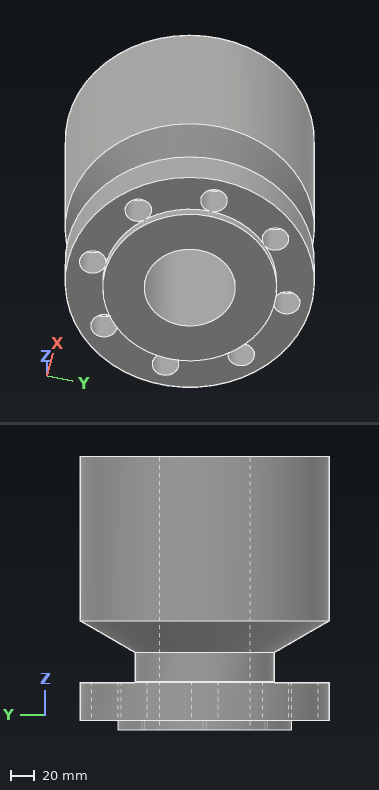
import cadquery as cq

total_height = 230.2
body_diameter = 209.5
bore_diameter = 76.5

face_diameter = 146.2
face_height = 8.0

flange_diameter = body_diameter
flange_thickness = 32.0

collar_diameter = 117.5
collar_height = 1.0

neck_diameter = 117.0
neck_length = 25.0
cone_height = 26.7

bolt_count = 8
bolt_circle_diameter = 168.0
bolt_hole_diameter = 22.0

flange_top = face_height + flange_thickness
neck_top = flange_top + neck_length
cone_top = neck_top + cone_height


def disc(diameter, bottom, top):
    """Solid cylinder on the Z axis between two levels."""
    return cq.Workplane("XY").workplane(offset=bottom).circle(diameter / 2).extrude(top - bottom)


def cone():
    """Frustum joining the neck to the body."""
    return (
        cq.Workplane("XZ")
        .moveTo(0, neck_top)
        .lineTo(neck_diameter / 2, neck_top)
        .lineTo(body_diameter / 2, cone_top)
        .lineTo(0, cone_top)
        .close()
        .revolve(360, (0, 0, 0), (0, 1, 0))
    )


def bolt_holes():
    """Ring of bolt holes; they also nick the rim of the raised face."""
    return (
        cq.Workplane("XY")
        .polarArray(bolt_circle_diameter / 2, 0, 360, bolt_count)
        .circle(bolt_hole_diameter / 2)
        .extrude(flange_top)
    )


flange = disc(face_diameter, 0, face_height).union(disc(flange_diameter, face_height, flange_top))
flange = flange.cut(bolt_holes())

collar = disc(collar_diameter, flange_top, flange_top + collar_height)
neck = disc(neck_diameter, flange_top, neck_top)
body = disc(body_diameter, cone_top, total_height)

result = flange.union(collar).union(neck).union(cone()).union(body)

result = result.cut(disc(bore_diameter, 0, total_height))